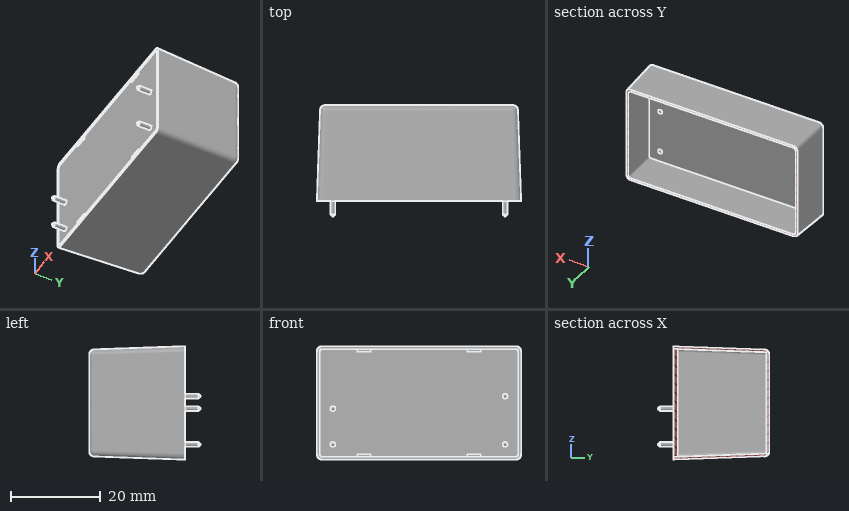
import cadquery as cq
import math

case_width = 45.7
case_height = 25.4
case_depth = 21.5
draft_angle = 2.0
outer_radius = 1.25

wall = 0.7
inner_radius = outer_radius - wall
cavity_depth = case_depth - wall

plate_thickness = 1.0
notch_width = 3.0
notch_height = 0.6
notch_depth = 0.5
notch_x = 12.3

pin_diameter = 1.1
pin_radius = pin_diameter / 2
overall_depth = 25.0
pin_projection = overall_depth - case_depth
pin_x = 19.25
lower_pin_z = -9.28
left_upper_pin_z = -1.3
right_upper_pin_z = 1.5
pin_positions = [
    (-pin_x, lower_pin_z),
    (-pin_x, left_upper_pin_z),
    (pin_x, lower_pin_z),
    (pin_x, right_upper_pin_z),
]

opening_width = case_width - 2 * wall
opening_height = case_height - 2 * wall


def drafted_block(width, height, depth, corner_radius):
    """Block from Y = 0 toward +Y, narrowing by the draft, with rounded long edges."""
    shrink = 2 * depth * math.tan(math.radians(draft_angle))
    block = (
        cq.Workplane("XZ")
        .rect(width, height)
        .workplane(offset=-depth)
        .rect(width - shrink, height - shrink)
        .loft(ruled=True, combine=True)
    )
    long_edges = block.edges("not(#Y)")
    return long_edges.fillet(corner_radius)


def make_case():
    outside = drafted_block(case_width, case_height, case_depth, outer_radius)
    outside = outside.faces(">Y").edges().fillet(outer_radius)
    cavity = drafted_block(opening_width, opening_height, cavity_depth, inner_radius)
    return outside.cut(cavity)


def make_pin(x, z):
    """Pin along Y, from the inner side of the plate out to its pointed tip."""
    tip_y = -pin_projection
    shoulder_y = tip_y + pin_radius
    return (
        cq.Workplane("XY")
        .moveTo(0, tip_y)
        .lineTo(pin_radius, shoulder_y)
        .lineTo(pin_radius, plate_thickness)
        .lineTo(0, plate_thickness)
        .close()
        .revolve(360, (0, 0, 0), (0, 1, 0))
        .translate((x, 0, z))
    )


def make_base_plate():
    plate = drafted_block(opening_width, opening_height, plate_thickness, inner_radius)
    notch_z = (opening_height - notch_height) / 2
    for x in (-notch_x, notch_x):
        for z in (-notch_z, notch_z):
            notch = cq.Workplane("XY").box(notch_width, 2 * notch_depth, notch_height)
            plate = plate.cut(notch.translate((x, 0, z)))
    for x, z in pin_positions:
        plate = plate.cut(make_pin(x, z))
    return plate


case = make_case()
base_plate = make_base_plate()
pins = [make_pin(x, z) for x, z in pin_positions]

result = cq.Compound.makeCompound([
    case.val(),
    base_plate.val(),
    *[pin.val() for pin in pins],
])